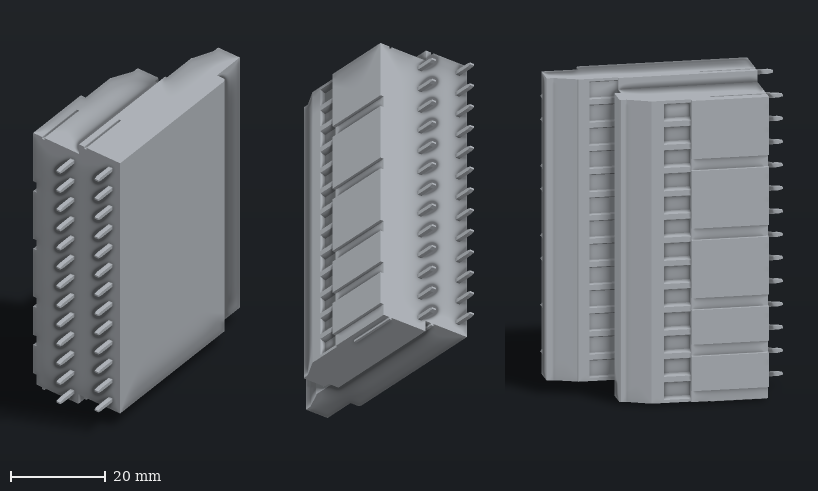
import cadquery as cq

pitch = 5.08
half_pitch = pitch / 2
row_stagger = 2.5
modules = 13
group_sizes = (3, 3, 3, 2, 2)
end_margin = 0.07
row_height = modules * pitch + 2 * end_margin
lower_top_z = row_height
upper_top_z = lower_top_z + row_stagger
upper_bottom_z = row_stagger
low_modules_top_z = lower_top_z - end_margin
high_modules_top_z = upper_top_z - end_margin

low_foot_y = 16.6
low_face_x = 1.28
low_slope_y = 25.1
low_shoulder_x = 3.75
low_shoulder_y = 29.95
low_crest_y = 31.45
low_crest_end_x = 9.45
low_crest_chamfer = 0.25
ledge_y = 30.0
low_back_x = 12.02

high_foot_x = 12.18
high_face_x = 12.67
high_slope_y = 38.75
high_slope_x = 12.9
high_face_end_y = 38.5
high_shoulder_x = 14.9
high_shoulder_y = 43.4
high_crest_y = 44.9
high_crest_end_x = 20.65
rear_step_y = 36.95
rear_x = 23.1
rear_step_fillet = 0.8

relief_depth = 0.85
relief_height = half_pitch + end_margin

window_height = 3.9
low_window_length = 5.75
low_window_edge_gap = 0.6
low_window_taper = 0.5
low_window_depth = 1.25
high_window_length = 6.15
high_window_edge_gap = 0.5
high_window_taper = 0.3
high_window_depth = 0.5

pin_length = 5.0
pin_width = 1.0
pin_thickness = 0.85
pin_tip_length = 1.0
pin_tip_thickness = 0.4
low_pin_x = 10.45
high_pin_x = low_pin_x + 2 * pitch

key_length = 12.1
key_height = 0.5
key_width = 0.6
low_key_x = 2.66
high_key_x = 13.85

ridge_start_x = 18.85
ridge_width = 1.0
ridge_height = 0.4
ridge_base = 1.1


def low_housing():
    body = (
        cq.Workplane("XY")
        .moveTo(0, 0)
        .lineTo(0, low_foot_y)
        .lineTo(low_face_x, low_foot_y)
        .lineTo(low_face_x, low_slope_y)
        .lineTo(low_shoulder_x, low_shoulder_y)
        .lineTo(low_shoulder_x, low_crest_y - low_crest_chamfer)
        .lineTo(low_shoulder_x + low_crest_chamfer, low_crest_y)
        .lineTo(low_crest_end_x - low_crest_chamfer, low_crest_y)
        .lineTo(low_crest_end_x, low_crest_y - low_crest_chamfer)
        .lineTo(low_crest_end_x, ledge_y)
        .lineTo(low_back_x, ledge_y)
        .lineTo(low_back_x, 0)
        .close()
        .extrude(lower_top_z)
    )
    bottom_z = low_modules_top_z
    for size in group_sizes:
        bottom_z -= size * pitch
        relief = cq.Workplane("XY").box(relief_depth, low_foot_y, relief_height, centered=False)
        body = body.cut(relief.translate((0, 0, bottom_z - end_margin)))
    return body


def high_housing():
    return (
        cq.Workplane("XY")
        .workplane(offset=upper_bottom_z)
        .moveTo(high_foot_x, 0)
        .lineTo(high_foot_x, ledge_y)
        .lineTo(high_face_x, ledge_y)
        .lineTo(high_face_x, high_face_end_y)
        .lineTo(high_slope_x, high_slope_y)
        .lineTo(high_shoulder_x, high_shoulder_y)
        .lineTo(high_shoulder_x, high_crest_y)
        .lineTo(high_crest_end_x, high_crest_y)
        .lineTo(high_crest_end_x, rear_step_y)
        .lineTo(rear_x - rear_step_fillet, rear_step_y)
        .radiusArc((rear_x, rear_step_y - rear_step_fillet), rear_step_fillet)
        .lineTo(rear_x, 0)
        .close()
        .extrude(row_height)
    )


def housing_joint():
    """Web that joins the two rows over the height they share."""
    web = cq.Workplane("XY").box(
        high_foot_x - low_back_x, ledge_y, lower_top_z - upper_bottom_z, centered=False
    )
    return web.translate((low_back_x, 0, upper_bottom_z))


def windows(face_x, start_y, top_z, length, depth, taper):
    """Column of windows whose top and bottom walls converge with depth."""
    column = cq.Workplane("XY")
    for index in range(modules):
        window_top = top_z - index * pitch
        window_bottom = window_top - window_height
        column = column.add(
            cq.Workplane("XZ", origin=(0, start_y, 0))
            .moveTo(face_x, window_bottom)
            .lineTo(face_x, window_top)
            .lineTo(face_x + depth, window_top - taper)
            .lineTo(face_x + depth, window_bottom + taper)
            .close()
            .extrude(-length)
        )
    return column.combine()


def pins(center_x, top_z):
    """Column of flat pins with wedge tips, one at the middle of each module."""
    half_thickness = pin_thickness / 2
    half_tip = pin_tip_thickness / 2
    taper_y = pin_tip_length - pin_length
    column = cq.Workplane("XY")
    for index in range(modules):
        center_z = top_z - (index + 0.5) * pitch
        column = column.add(
            cq.Workplane("YZ", origin=(center_x - pin_width / 2, 0, center_z))
            .moveTo(0, -half_thickness)
            .lineTo(0, half_thickness)
            .lineTo(taper_y, half_thickness)
            .lineTo(-pin_length, half_tip)
            .lineTo(-pin_length, -half_tip)
            .lineTo(taper_y, -half_thickness)
            .close()
            .extrude(pin_width)
        )
    return column.combine()


def key(center_x, face_z):
    """Straight bar just below face_z, starting at the pin face."""
    bar = cq.Workplane("XY").box(key_width, key_length, key_height, centered=False)
    return bar.translate((center_x - key_width / 2, 0, face_z - key_height))


def ridges():
    """V-shaped ridges on the high crest at the module joints inside each group."""
    column = cq.Workplane("XY")
    group_top_z = high_modules_top_z
    for size in group_sizes:
        for joint in range(1, size):
            joint_z = group_top_z - joint * pitch
            column = column.add(
                cq.Workplane("YZ", origin=(ridge_start_x, high_crest_y, joint_z))
                .moveTo(0, -ridge_base / 2)
                .lineTo(ridge_height, 0)
                .lineTo(0, ridge_base / 2)
                .close()
                .extrude(ridge_width)
            )
        group_top_z -= size * pitch
    return column.combine()


result = low_housing().union(housing_joint()).union(high_housing())
result = result.cut(
    windows(
        low_face_x,
        low_foot_y,
        low_modules_top_z - low_window_edge_gap,
        low_window_length,
        low_window_depth,
        low_window_taper,
    )
)
result = result.cut(
    windows(
        high_face_x,
        ledge_y,
        high_modules_top_z - high_window_edge_gap,
        high_window_length,
        high_window_depth,
        high_window_taper,
    )
)
result = result.cut(key(low_key_x, lower_top_z))
result = result.cut(key(high_key_x, upper_top_z))
result = result.union(key(low_key_x, 0))
result = result.union(key(high_key_x, upper_bottom_z))
result = result.union(pins(low_pin_x, low_modules_top_z))
result = result.union(pins(high_pin_x, high_modules_top_z))
result = result.union(ridges())